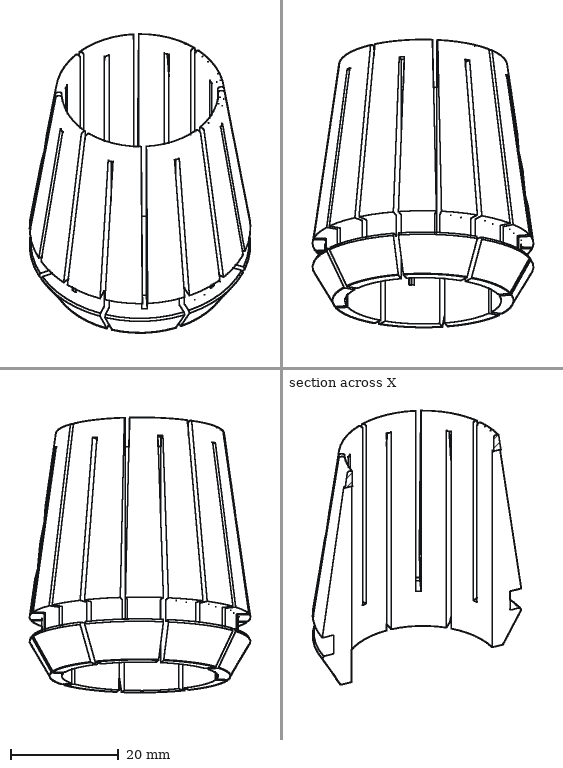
import cadquery as cq
import math

height = 46.0
max_diameter = 41.0
bore_diameter = 29.0
max_radius = max_diameter / 2
bore_radius = bore_diameter / 2

cone_half_angle = 8.0
cone_base_z = 11.15
nose_fillet = 0.45

groove_radius = 18.15
groove_floor_z = 7.1
groove_corner_fillet = 0.2

collar_half_angle = 30.0
collar_lip_height = 0.5
collar_lip_width = 0.28
collar_land_height = 0.15

slot_width = 0.95
slots_per_end = 8
rear_slot_end_z = 42.5
nose_slot_end_z = 7.55


def make_body():
    """Revolve the wall section about the Z axis and round both edges of the nose rim."""
    nose_radius = max_radius - (height - cone_base_z) * math.tan(math.radians(cone_half_angle))
    collar_edge_z = groove_floor_z - collar_lip_height
    collar_cone_height = collar_edge_z - collar_land_height
    rear_radius = max_radius - collar_cone_height * math.tan(math.radians(collar_half_angle))
    section = (
        cq.Workplane("XZ")
        .moveTo(bore_radius, 0)
        .lineTo(rear_radius, 0)
        .lineTo(rear_radius, collar_land_height)
        .lineTo(max_radius, collar_edge_z)
        .lineTo(max_radius - collar_lip_width, groove_floor_z)
        .lineTo(groove_radius + groove_corner_fillet, groove_floor_z)
        .radiusArc((groove_radius, groove_floor_z + groove_corner_fillet), groove_corner_fillet)
        .lineTo(groove_radius, cone_base_z - groove_corner_fillet)
        .radiusArc((groove_radius + groove_corner_fillet, cone_base_z), groove_corner_fillet)
        .lineTo(max_radius, cone_base_z)
        .lineTo(nose_radius, height)
        .lineTo(bore_radius, height)
        .close()
    )
    body = section.revolve(360, (0, 0), (0, 1))
    return body.faces(">Z").edges("%CIRCLE").fillet(nose_fillet)


def make_slots(bottom_z, top_z, first_angle):
    """Ring of radial slot cutters, as blades that each cut both sides of the wall."""
    blade_length = 2.2 * max_radius
    blade_count = slots_per_end // 2
    pitch = 360 / slots_per_end
    blade = cq.Workplane("XY").box(blade_length, slot_width, top_z - bottom_z, centered=(True, True, False))
    blade = blade.translate((0, 0, bottom_z))
    blades = cq.Workplane("XY")
    for index in range(blade_count):
        angle = first_angle + index * pitch
        blades = blades.add(blade.rotate((0, 0, 0), (0, 0, 1), angle))
    return blades.combine()


half_pitch = 180 / slots_per_end
rear_slots = make_slots(0, rear_slot_end_z, 0)
nose_slots = make_slots(nose_slot_end_z, height, half_pitch)

result = make_body().cut(rear_slots).cut(nose_slots)